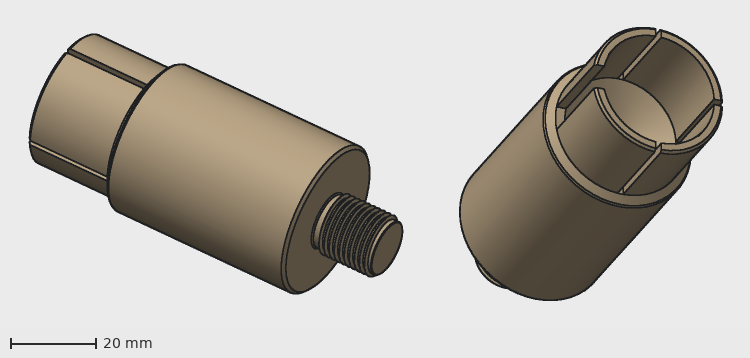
import cadquery as cq
import math

total_length = 89.7
sleeve_length = 22.2
body_end = 73.1

body_diameter = 38.1
body_chamfer = 0.8
shoulder_length = 1.35
shoulder_edge_length = 0.5
shoulder_edge_height = 0.31

sleeve_diameter = 33.4
sleeve_chamfer = 0.6
bore_diameter = 28.6
bore_depth = sleeve_length
drill_tip_angle = 118.0
narrow_slot_width = 1.4
wide_slot_width = 6.2

stud_diameter = 13.7
stud_base_chamfer = 0.4
stud_tip_chamfer = 0.2
thread_diameter = 15.5
thread_length = 14.1
thread_start = 74.9
thread_turns = 10
thread_pitch = thread_length / thread_turns
thread_root_width = 1.1
thread_root_overlap = 0.2

body_radius = body_diameter / 2
sleeve_radius = sleeve_diameter / 2
bore_radius = bore_diameter / 2
stud_radius = stud_diameter / 2


def make_turned_blank():
    """Revolve the sleeve, shoulder, body and plain stud about the X axis."""
    shoulder_end = sleeve_length + shoulder_length
    shoulder_radius = body_radius - shoulder_edge_height
    outline = [
        (0, 0),
        (0, sleeve_radius - sleeve_chamfer),
        (sleeve_chamfer, sleeve_radius),
        (sleeve_length, sleeve_radius),
        (shoulder_end, shoulder_radius),
        (shoulder_end + shoulder_edge_length, body_radius),
        (body_end - body_chamfer, body_radius),
        (body_end, body_radius - body_chamfer),
        (body_end, stud_radius + stud_base_chamfer),
        (body_end + stud_base_chamfer, stud_radius),
        (total_length - stud_tip_chamfer, stud_radius),
        (total_length, stud_radius - stud_tip_chamfer),
        (total_length, 0),
    ]
    return cq.Workplane("XY").polyline(outline).close().revolve(360, (0, 0, 0), (1, 0, 0))


def make_bore():
    """Blind bore, open at X = 0, with a conical drill-point bottom."""
    tip_depth = bore_radius / math.tan(math.radians(drill_tip_angle / 2))
    outline = [
        (0, 0),
        (0, bore_radius),
        (bore_depth, bore_radius),
        (bore_depth + tip_depth, 0),
    ]
    return cq.Workplane("XY").polyline(outline).close().revolve(360, (0, 0, 0), (1, 0, 0))


def make_slot(width, angle):
    """Slot through the sleeve wall; angle turns it about X away from +Y."""
    slot = cq.Workplane("XY").box(sleeve_length, body_radius, width, centered=(False, False, True))
    return slot.rotate((0, 0, 0), (1, 0, 0), angle)


def make_thread():
    """Right-hand helical ridge with a triangular section, starting on the +Y side."""
    root_radius = stud_radius - thread_root_overlap
    half_width = thread_root_width / 2
    crest_radius = thread_diameter / 2
    path = cq.Wire.makeHelix(thread_pitch, thread_length, root_radius)
    section = [(root_radius, -half_width), (crest_radius, 0), (root_radius, half_width)]
    ridge = cq.Workplane("XZ").polyline(section).close().sweep(cq.Workplane(obj=path), isFrenet=True)
    ridge = ridge.rotate((0, 0, 0), (0, 1, 0), 90).rotate((0, 0, 0), (1, 0, 0), 90)
    return ridge.translate((thread_start, 0, 0))


result = make_turned_blank().cut(make_bore())
result = result.cut(make_slot(wide_slot_width, 0))
for slot_angle in (90, 180, 270):
    result = result.cut(make_slot(narrow_slot_width, slot_angle))
result = result.union(make_thread())